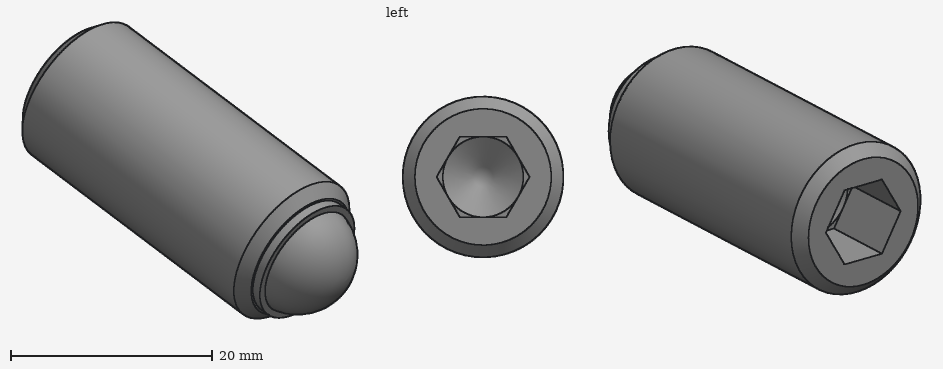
import cadquery as cq
import math

total_length = 38.3
body_diameter = 16.0
body_length = 32.7
chamfer_length = 1.23
chamfer_depth = 1.23

collar_diameter = 13.1
collar_length = 1.0
ball_diameter = 12.0

hex_across_flats = 8.0
hex_depth = 8.0
drill_point_angle = 120.0

body_radius = body_diameter / 2
end_face_radius = body_radius - chamfer_depth
collar_radius = collar_diameter / 2
collar_end = body_length + collar_length
ball_radius = ball_diameter / 2
ball_center = total_length - ball_radius


def make_screw():
    """Revolved body: chamfered cylinder, collar and the exposed cap of the ball."""
    ball_exit_radius = math.sqrt(ball_radius**2 - (collar_end - ball_center) ** 2)
    arc_middle_offset = ball_radius * math.sqrt(0.5)
    profile = (
        cq.Workplane("XY")
        .moveTo(0, 0)
        .lineTo(0, end_face_radius)
        .lineTo(chamfer_length, body_radius)
        .lineTo(body_length - chamfer_length, body_radius)
        .lineTo(body_length, end_face_radius)
        .lineTo(body_length, collar_radius)
        .lineTo(collar_end, collar_radius)
        .lineTo(collar_end, ball_exit_radius)
        .threePointArc(
            (ball_center + arc_middle_offset, arc_middle_offset),
            (total_length, 0),
        )
        .close()
    )
    return profile.revolve(360, (0, 0, 0), (1, 0, 0))


def make_socket():
    """Hexagonal recess with corners on the Y axis, ending in a drill point."""
    across_corners = hex_across_flats / math.cos(math.pi / 6)
    hexagon = cq.Workplane("YZ").polygon(6, across_corners).extrude(hex_depth)

    point_radius = hex_across_flats / 2
    point_length = point_radius / math.tan(math.radians(drill_point_angle / 2))
    drill_point = (
        cq.Workplane("XY")
        .moveTo(hex_depth, 0)
        .lineTo(hex_depth, point_radius)
        .lineTo(hex_depth + point_length, 0)
        .close()
        .revolve(360, (0, 0, 0), (1, 0, 0))
    )
    return hexagon.union(drill_point)


result = make_screw().cut(make_socket())